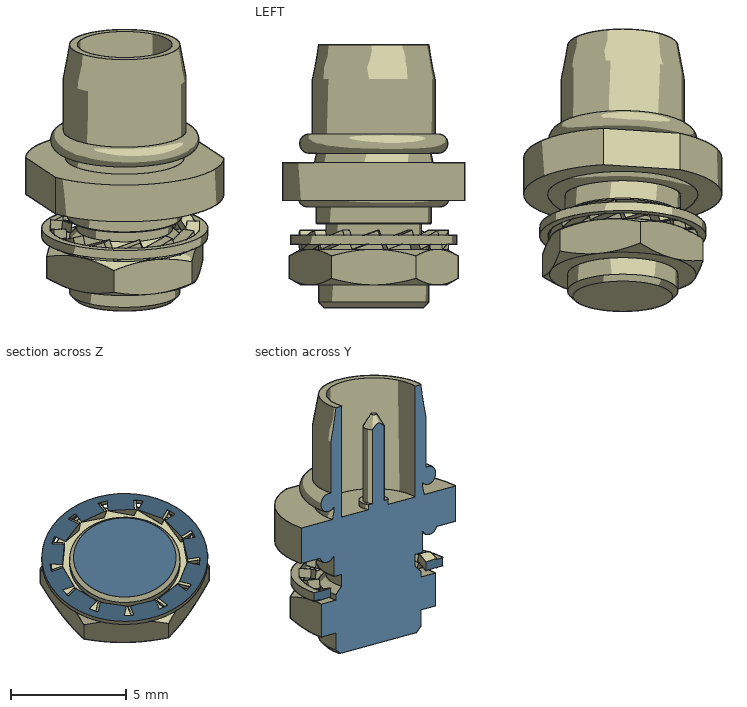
import cadquery as cq
import math

TOTAL_HEIGHT = 11.4
NUT_BOTTOM = 0.99
NUT_TOP = 2.53
STUB_TOP = 3.1
COLLAR_BOTTOM = 3.63
COLLAR_TOP = 4.64
FLANGE_THICKNESS = 1.65
FLANGE_TOP = COLLAR_TOP + FLANGE_THICKNESS
TAPER_BOTTOM = 9.9
PIN_TIP_HEIGHT = 10.49
PIN_TIP_LENGTH = 0.57
BORE_FLOOR = FLANGE_TOP

STUB_RADIUS = 2.39
STUB_CHAMFER = 0.24
NECK_RADIUS = 2.07
COLLAR_RADIUS = 2.5
COLLAR_CHAMFER = 0.05
FLANGE_RADIUS = 4.3
FLANGE_ACROSS_FLATS = 7.9
GROOVE_BASE_RADIUS = 2.58
GROOVE_RADIUS = 2.49
SLEEVE_RADIUS = 2.67
SLEEVE_TIP_RADIUS = 2.39
BORE_RADIUS = 2.05
PIN_SHOULDER_RADIUS = 0.64
PIN_SHOULDER_HEIGHT = 0.23
PIN_RADIUS = 0.47
PIN_TIP_RADIUS = 0.13

SEAL_CORD_RADIUS = 0.42
UPPER_SEAL_RADIUS = 2.79
UPPER_SEAL_HEIGHT = 7.11
LOWER_SEAL_RADIUS = 2.86
LOWER_SEAL_HEIGHT = 4.79
SEAL_SHOULDER_HEIGHT = UPPER_SEAL_HEIGHT + SEAL_CORD_RADIUS

NUT_ACROSS_FLATS = 6.35
NUT_CHAMFER_ANGLE = 30.0

WASHER_RADIUS = 3.6
WASHER_INNER_RADIUS = 3.25
WASHER_THICKNESS = 0.4
TOOTH_COUNT = 13
TOOTH_WIDTH = 1.33
TOOTH_TWIST = 20.0
TOOTH_END_DISTANCE = 2.66
FIRST_TOOTH_ANGLE = 256.2
TOOTH_HALF_HEIGHT = (
    TOOTH_WIDTH * math.sin(math.radians(TOOTH_TWIST))
    + WASHER_THICKNESS * math.cos(math.radians(TOOTH_TWIST))
) / 2
WASHER_MIDDLE = NUT_TOP + TOOTH_HALF_HEIGHT


def cylinder(radius, bottom, top):
    return cq.Workplane("XY").workplane(offset=bottom).circle(radius).extrude(top - bottom)


def turned(points):
    """Revolve an outline of (radius, height) points about Z."""
    return cq.Workplane("XZ").polyline(points).close().revolve(360, (0, 0), (0, 1))


def make_seal(ring_radius, height):
    """Ring of round cord about Z, with its cord centre at the given radius and height."""
    return (
        cq.Workplane("XZ")
        .center(ring_radius, height)
        .circle(SEAL_CORD_RADIUS)
        .revolve(360, (-ring_radius, 0), (-ring_radius, 1))
    )


def make_stem():
    """Stub, neck and collar, from the rear end up to the flange."""
    neck_step = STUB_RADIUS - NECK_RADIUS
    return turned([
        (0, 0),
        (STUB_RADIUS - STUB_CHAMFER, 0),
        (STUB_RADIUS, STUB_CHAMFER),
        (STUB_RADIUS, STUB_TOP - neck_step),
        (NECK_RADIUS, STUB_TOP),
        (NECK_RADIUS, COLLAR_BOTTOM),
        (COLLAR_RADIUS - COLLAR_CHAMFER, COLLAR_BOTTOM),
        (COLLAR_RADIUS, COLLAR_BOTTOM + COLLAR_CHAMFER),
        (COLLAR_RADIUS, COLLAR_TOP),
        (0, COLLAR_TOP),
    ])


def make_flange():
    """Round flange with two flats facing -Y and +Y."""
    disc = cylinder(FLANGE_RADIUS, COLLAR_TOP, FLANGE_TOP)
    flats = cq.Workplane("XY").box(2 * FLANGE_RADIUS, FLANGE_ACROSS_FLATS, 2 * TOTAL_HEIGHT)
    return disc.intersect(flats)


def make_sleeve():
    """Seal groove, shoulder and tapered sleeve above the flange, with its open bore."""
    outside = turned([
        (0, FLANGE_TOP),
        (GROOVE_BASE_RADIUS, FLANGE_TOP),
        (GROOVE_RADIUS, UPPER_SEAL_HEIGHT - SEAL_CORD_RADIUS),
        (GROOVE_RADIUS, UPPER_SEAL_HEIGHT),
        (UPPER_SEAL_RADIUS, UPPER_SEAL_HEIGHT),
        (UPPER_SEAL_RADIUS, SEAL_SHOULDER_HEIGHT),
        (SLEEVE_RADIUS, SEAL_SHOULDER_HEIGHT),
        (SLEEVE_RADIUS, TAPER_BOTTOM),
        (SLEEVE_TIP_RADIUS, TOTAL_HEIGHT),
        (0, TOTAL_HEIGHT),
    ])
    seal = make_seal(UPPER_SEAL_RADIUS, UPPER_SEAL_HEIGHT)
    return outside.union(seal).cut(cylinder(BORE_RADIUS, BORE_FLOOR, TOTAL_HEIGHT))


def make_pin():
    """Contact pin with a low shoulder and a pointed tip, standing on the bore floor."""
    return turned([
        (0, BORE_FLOOR),
        (PIN_SHOULDER_RADIUS, BORE_FLOOR),
        (PIN_SHOULDER_RADIUS, BORE_FLOOR + PIN_SHOULDER_HEIGHT),
        (PIN_RADIUS, BORE_FLOOR + PIN_SHOULDER_HEIGHT),
        (PIN_RADIUS, PIN_TIP_HEIGHT - PIN_TIP_LENGTH),
        (PIN_TIP_RADIUS, PIN_TIP_HEIGHT),
        (0, PIN_TIP_HEIGHT),
    ])


def make_nut():
    """Hexagon with two flats facing -X and +X and its corners chamfered at both ends."""
    flat_radius = NUT_ACROSS_FLATS / 2
    corner_radius = flat_radius / math.cos(math.pi / 6)
    chamfer_drop = (corner_radius - flat_radius) * math.tan(math.radians(NUT_CHAMFER_ANGLE))
    hexagon = (
        cq.Workplane("XY")
        .workplane(offset=NUT_BOTTOM)
        .polygon(6, 2 * corner_radius)
        .extrude(NUT_TOP - NUT_BOTTOM)
        .rotate((0, 0, 0), (0, 0, 1), 30)
    )
    chamfer_envelope = turned([
        (0, NUT_BOTTOM),
        (flat_radius, NUT_BOTTOM),
        (corner_radius, NUT_BOTTOM + chamfer_drop),
        (corner_radius, NUT_TOP - chamfer_drop),
        (flat_radius, NUT_TOP),
        (0, NUT_TOP),
    ])
    return hexagon.intersect(chamfer_envelope)


def make_connector():
    return (
        make_stem()
        .union(make_flange())
        .union(make_seal(LOWER_SEAL_RADIUS, LOWER_SEAL_HEIGHT))
        .union(make_sleeve())
        .union(make_pin())
        .union(make_nut())
    )


def make_tooth(angle):
    """Flat, square-ended tooth pointing inward and twisted about its own radial axis."""
    length = WASHER_RADIUS - TOOTH_END_DISTANCE
    return (
        cq.Workplane("XY")
        .box(length, TOOTH_WIDTH, WASHER_THICKNESS, centered=(False, True, True))
        .translate((TOOTH_END_DISTANCE, 0, 0))
        .rotate((0, 0, 0), (1, 0, 0), TOOTH_TWIST)
        .rotate((0, 0, 0), (0, 0, 1), angle)
        .translate((0, 0, WASHER_MIDDLE))
    )


def make_washer():
    """Flat ring carrying evenly spaced twisted teeth on its inner side."""
    ring_bottom = WASHER_MIDDLE - WASHER_THICKNESS / 2
    ring_top = WASHER_MIDDLE + WASHER_THICKNESS / 2
    washer = cylinder(WASHER_RADIUS, ring_bottom, ring_top).cut(
        cylinder(WASHER_INNER_RADIUS, ring_bottom, ring_top)
    )
    tooth_zone = cylinder(
        WASHER_INNER_RADIUS, WASHER_MIDDLE - TOOTH_HALF_HEIGHT, WASHER_MIDDLE + TOOTH_HALF_HEIGHT
    )
    for index in range(TOOTH_COUNT):
        tooth = make_tooth(FIRST_TOOTH_ANGLE + index * 360 / TOOTH_COUNT)
        washer = washer.union(tooth.intersect(tooth_zone))
    return washer


connector = make_connector()
lock_washer = make_washer()
result = cq.Compound.makeCompound([connector.solids().val(), lock_washer.solids().val()])